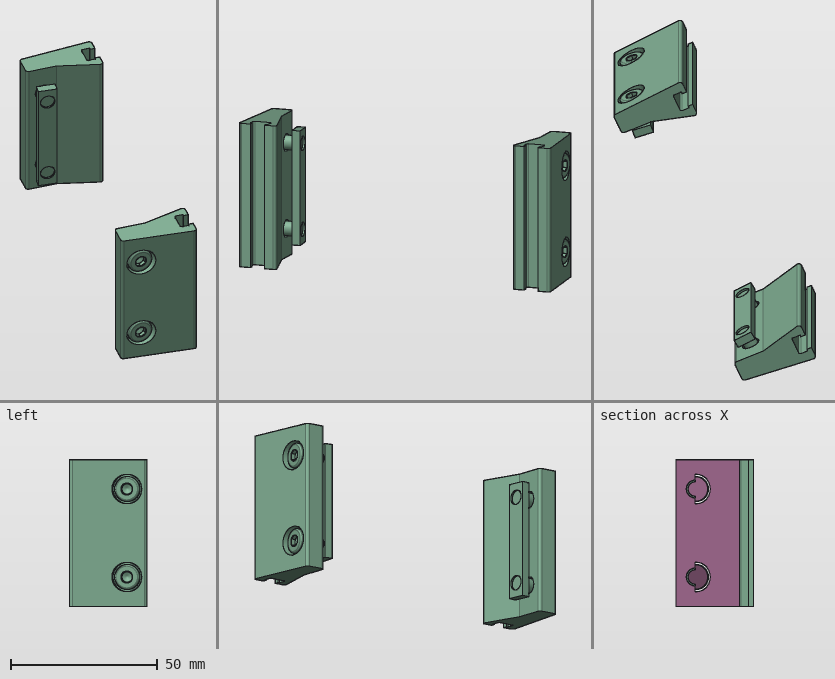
import cadquery as cq
import math

SPAN = 113.5
DEPTH = 26.5
HEIGHT = 50.0
LEFT = -SPAN / 2
BACK = DEPTH / 2

TOP_WIDTH = 13.5
INNER_WALL = 9.6
OUTER_TILT = 5.0
INNER_TILT = 15.0
EDGE_RADIUS = 1.0

SLOT_CENTRE = 6.8
MOUTH_WIDTH = 5.1
LIP_DEPTH = 1.7
CHANNEL_WIDTH = 6.5
SLOT_DEPTH = 4.8
SLOT_RADIUS = 0.6

SCREW_TILT = 5.0
SCREW_FROM_BACK = 20.2
SCREW_PITCH = 30.0
SHANK_D = 5.0
HEAD_D = 8.5
HEAD_HEIGHT = 3.5
HEAD_RADIUS = 0.6
HEAD_FACE = 7.7
SOCKET_MOUTH_D = 4.1
SOCKET_FLATS = 3.5
CONE_SLOPE = 30.0
SOCKET_DEPTH = 1.6
CLEARANCE_D = 6.0
COUNTERBORE_D = 10.0

BAR_GAP = 2.8
BAR_THICKNESS = 3.0
BAR_WIDTH = 6.6
BAR_LENGTH = 40.0
SCREW_RECESS = 0.7

SCREW_HEIGHTS = (-SCREW_PITCH / 2, SCREW_PITCH / 2)
SEAT = HEAD_HEIGHT - HEAD_FACE


def screw_plane(offset, z=0.0):
    """Plane across the screw axis, its normal pointing from the head to the bar."""
    tilt = math.radians(SCREW_TILT)
    axis = cq.Vector(math.cos(tilt), -math.sin(tilt), 0)
    at_wall = cq.Vector(LEFT + INNER_WALL, BACK - SCREW_FROM_BACK, z)
    return cq.Workplane(cq.Plane(at_wall + axis * offset, xDir=(0, 0, 1), normal=axis))


def corner_overhang(tilt):
    """Distance from the rounded edge's outermost point to the sharp corner, per unit radius."""
    angle = math.radians(tilt)
    return (1 + math.sin(angle)) / math.cos(angle) - 1


def holder_blank():
    outer_slope = math.tan(math.radians(OUTER_TILT))
    inner_slope = math.tan(math.radians(INNER_TILT))
    outer_corner = LEFT - EDGE_RADIUS * corner_overhang(OUTER_TILT)
    inner_corner = LEFT + TOP_WIDTH + EDGE_RADIUS * corner_overhang(INNER_TILT)
    wall = LEFT + INNER_WALL
    bend = BACK - (inner_corner - wall) / inner_slope
    outline = [
        (outer_corner, BACK),
        (inner_corner, BACK),
        (wall, bend),
        (wall, BACK - DEPTH),
        (outer_corner + DEPTH * outer_slope, BACK - DEPTH),
    ]
    blank = cq.Workplane("XY").workplane(offset=-HEIGHT / 2).polyline(outline).close().extrude(HEIGHT)
    return blank.edges("|Z").edges("<Y or >Y").fillet(EDGE_RADIUS)


def slot_box(width, start, end):
    """Full-height cut on the centre line of the slot, between two depths below it."""
    centre = LEFT + SLOT_CENTRE
    return cq.Workplane("XY").box(width, end - start, HEIGHT).translate((centre, BACK - (start + end) / 2, 0))


def t_slot():
    mouth = slot_box(MOUTH_WIDTH, 0, LIP_DEPTH)
    channel = slot_box(CHANNEL_WIDTH, LIP_DEPTH, SLOT_DEPTH).edges("|Z and <Y").fillet(SLOT_RADIUS)
    return mouth.union(channel)


def screw_hole(z):
    clearance = screw_plane(SEAT, z).circle(CLEARANCE_D / 2).extrude(2 * INNER_WALL)
    counterbore = screw_plane(SEAT, z).circle(COUNTERBORE_D / 2).extrude(-INNER_WALL)
    return clearance.union(counterbore)


def make_holder():
    holder = holder_blank().cut(t_slot())
    for z in SCREW_HEIGHTS:
        holder = holder.cut(screw_hole(z))
    return holder.val()


def make_bar():
    bar = screw_plane(BAR_GAP).rect(BAR_LENGTH, BAR_WIDTH).extrude(BAR_THICKNESS)
    for z in SCREW_HEIGHTS:
        bar = bar.cut(screw_plane(BAR_GAP, z).circle(SHANK_D / 2).extrude(BAR_THICKNESS))
    return bar.val()


def cone(z, offset, diameter):
    """Shallow cone pointing along the screw axis, its base at the given offset."""
    depth = diameter / 2 * math.tan(math.radians(CONE_SLOPE))
    base = screw_plane(offset, z).plane
    return cq.Workplane(cq.Solid.makeCone(diameter / 2, 0, depth, base.origin, base.zDir))


def make_screw(z):
    head = screw_plane(-HEAD_FACE, z).circle(HEAD_D / 2).extrude(HEAD_HEIGHT)
    head = head.faces("<X").edges().fillet(HEAD_RADIUS)
    shank_length = BAR_GAP + BAR_THICKNESS - SCREW_RECESS - SEAT
    shank = screw_plane(SEAT, z).circle(SHANK_D / 2).extrude(shank_length)
    socket_corners = SOCKET_FLATS / math.cos(math.pi / 6)
    socket = screw_plane(-HEAD_FACE, z).polygon(6, socket_corners).extrude(SOCKET_DEPTH)
    mouth = cone(z, -HEAD_FACE, SOCKET_MOUTH_D)
    tip = cone(z, SOCKET_DEPTH - HEAD_FACE, SOCKET_FLATS)
    return head.union(shank).cut(socket).cut(mouth).cut(tip).val()


left_bodies = [make_holder(), make_bar()]
for height in SCREW_HEIGHTS:
    left_bodies.append(make_screw(height))

right_bodies = [body.mirror("YZ") for body in left_bodies]

result = cq.Compound.makeCompound(left_bodies + right_bodies)